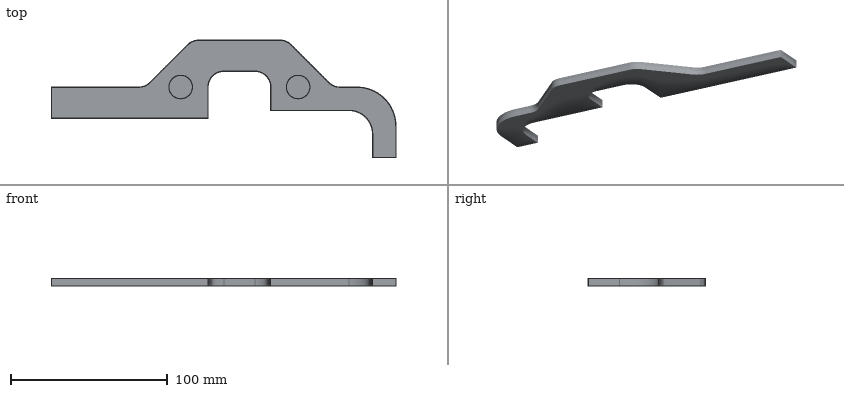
import cadquery as cq

thickness = 5.0
total_length = 220.0

leg_length = 100.0
leg_width = 20.0

bridge_rise = 30.0
bridge_top_length = 60.0
shoulder_radius = 10.0

slot_width = 40.0
slot_depth = 30.0
slot_radius = 10.0

hook_width = 15.0
hook_drop = 45.0
hook_outer_radius = 25.0
hook_inner_radius = 15.0

pin_diameter = 15.0
pin_spacing = 75.0

bridge_top = leg_width + bridge_rise
slot_right = leg_length + slot_width
bridge_center = leg_length + slot_width / 2
bridge_left = bridge_center - bridge_top_length / 2
bridge_right = bridge_center + bridge_top_length / 2
shoulder_run = bridge_rise
hook_underside = leg_width - hook_width
hook_tip = leg_width - hook_drop
hook_inside = total_length - hook_width
pin_centers = [(bridge_center + side * pin_spacing / 2, leg_width) for side in (-1, 1)]


def round_corners(body, corners, radius):
    """Fillet the upright edges that stand at the given (x, y) corners."""
    for x, y in corners:
        edge = cq.selectors.NearestToPointSelector((x, y, thickness / 2))
        body = body.edges("|Z").edges(edge).fillet(radius)
    return body


def make_plate():
    shoulder_corners = [
        (bridge_left - shoulder_run, leg_width),
        (bridge_left, bridge_top),
        (bridge_right, bridge_top),
        (bridge_right + shoulder_run, leg_width),
    ]
    slot_corners = [(leg_length, slot_depth), (slot_right, slot_depth)]
    hook_outer_corner = (total_length, leg_width)
    hook_inner_corner = (hook_inside, hook_underside)

    outline = [
        (0, 0),
        (0, leg_width),
        *shoulder_corners,
        hook_outer_corner,
        (total_length, hook_tip),
        (hook_inside, hook_tip),
        hook_inner_corner,
        (slot_right, hook_underside),
        *reversed(slot_corners),
        (leg_length, 0),
    ]
    plate = cq.Workplane("XY").polyline(outline).close().extrude(thickness)

    plate = round_corners(plate, shoulder_corners, shoulder_radius)
    plate = round_corners(plate, slot_corners, slot_radius)
    plate = round_corners(plate, [hook_outer_corner], hook_outer_radius)
    plate = round_corners(plate, [hook_inner_corner], hook_inner_radius)

    pin_holes = make_pins()
    return plate.cut(pin_holes)


def make_pins():
    return cq.Workplane("XY").pushPoints(pin_centers).circle(pin_diameter / 2).extrude(thickness)


plate = make_plate()
pins = make_pins()

result = cq.Compound.makeCompound([plate.val(), *pins.vals()])